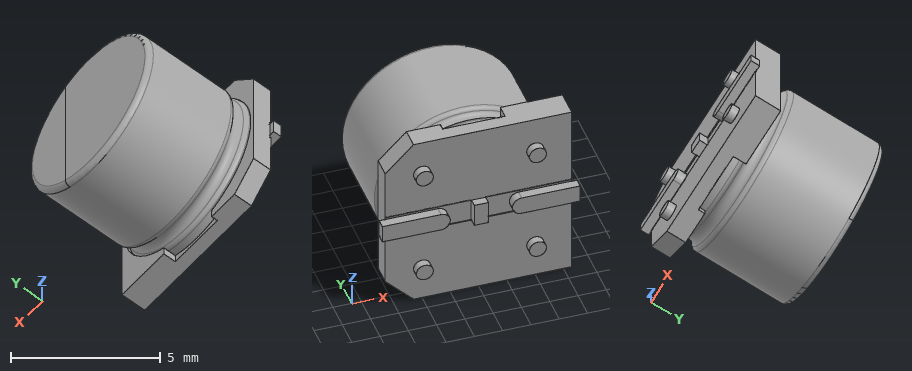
import cadquery as cq
import math


total_height = 5.5
can_radius = 3.15
base_width = 6.6
lead_span = 7.0

standoff = 0.3
corner_chamfer = 1.0
seat_height = 0.5
low_rim_height = 0.75
high_rim_height = 1.0
notch_half_width = 1.1
foot_radius = 0.3
foot_offset = 2.0
groove_width = 0.85
groove_depth = 0.04
key_length = 0.5

lead_width = 0.65
lead_tip_x = 1.1

can_edge_radius = 0.2
belt_radius = 0.25
belt_height = 1.2

mark_start_x = 1.22
mark_thickness = can_edge_radius

base_half = base_width / 2
base_y = standoff
seat_y = base_y + seat_height
groove_floor_y = base_y + groove_depth


def box_between(x_range, y_range, z_range):
    """Box spanning the given (low, high) pairs."""
    (x0, x1), (y0, y1), (z0, z1) = x_range, y_range, z_range
    return cq.Workplane("XY").box(x1 - x0, y1 - y0, z1 - z0, centered=False).translate((x0, y0, z0))


def cylinder_along_y(radius, y0, y1, x=0, z=0):
    """Cylinder parallel to Y between y0 and y1."""
    return cq.Workplane("XZ").circle(radius).extrude(y0 - y1).translate((x, y0, z))


def make_base():
    """Plastic base: chamfered plate with can seat, rims, notches, lead groove, key and feet."""
    full_z = (-base_half, base_half)
    base = box_between((-base_half, base_half), (base_y, base_y + high_rim_height), full_z)
    base = base.edges("|Y and <X").chamfer(corner_chamfer)

    rim_top_y = base_y + high_rim_height
    base = base.cut(box_between((-base_half, -notch_half_width), (base_y + low_rim_height, rim_top_y), full_z))
    base = base.cut(box_between((-notch_half_width, notch_half_width), (seat_y, rim_top_y), full_z))
    base = base.cut(cylinder_along_y(can_radius, seat_y, rim_top_y))

    groove_z = (-groove_width / 2, groove_width / 2)
    base = base.cut(box_between((-base_half, base_half), (base_y, groove_floor_y), groove_z))
    base = base.union(box_between((-key_length / 2, key_length / 2), (0, groove_floor_y), groove_z))

    for x in (-foot_offset, foot_offset):
        for z in (-foot_offset, foot_offset):
            base = base.union(cylinder_along_y(foot_radius, 0, base_y, x, z))
    return base


def make_lead(side):
    """Flat lead with a round inner end; side is -1 or +1 along X."""
    round_radius = lead_width / 2
    round_center_x = lead_tip_x + round_radius
    return (
        cq.Workplane("XZ")
        .moveTo(side * lead_span / 2, round_radius)
        .lineTo(side * round_center_x, round_radius)
        .threePointArc((side * lead_tip_x, 0), (side * round_center_x, -round_radius))
        .lineTo(side * lead_span / 2, -round_radius)
        .close()
        .extrude(-groove_floor_y)
    )


def make_whole_can():
    """Can with a rounded top edge and a rolled belt whose lips blend tangentially into the wall."""
    belt_y = base_y + belt_height
    lip_radius = can_edge_radius
    center_distance = belt_radius + lip_radius
    lip_offset = math.sqrt(center_distance**2 - lip_radius**2)
    lip_center_x = can_radius - lip_radius

    join_x = can_radius - lip_radius * belt_radius / center_distance
    join_offset = lip_offset * belt_radius / center_distance

    half_angle = math.atan2(lip_offset, lip_radius) / 2
    lip_mid_x = lip_center_x + lip_radius * math.cos(half_angle)
    lip_mid_offset = lip_offset - lip_radius * math.sin(half_angle)

    edge_center_x = can_radius - can_edge_radius
    edge_center_y = total_height - can_edge_radius
    edge_mid = can_edge_radius * math.sqrt(0.5)
    return (
        cq.Workplane("XY")
        .moveTo(0, seat_y)
        .lineTo(can_radius, seat_y)
        .lineTo(can_radius, belt_y - lip_offset)
        .threePointArc((lip_mid_x, belt_y - lip_mid_offset), (join_x, belt_y - join_offset))
        .threePointArc((can_radius - belt_radius, belt_y), (join_x, belt_y + join_offset))
        .threePointArc((lip_mid_x, belt_y + lip_mid_offset), (can_radius, belt_y + lip_offset))
        .lineTo(can_radius, edge_center_y)
        .threePointArc((edge_center_x + edge_mid, edge_center_y + edge_mid), (edge_center_x, total_height))
        .lineTo(0, total_height)
        .close()
        .revolve(360, (0, 0, 0), (0, 1, 0))
    )


mark_zone = box_between(
    (mark_start_x, can_radius),
    (total_height - mark_thickness, total_height),
    (-can_radius, can_radius),
)
whole_can = make_whole_can()
can = whole_can.cut(mark_zone)
polarity_mark = whole_can.intersect(mark_zone)

base = make_base()
leads = [make_lead(side) for side in (-1, 1)]

result = cq.Compound.makeCompound(
    [base.val(), can.val(), polarity_mark.val(), *[lead.val() for lead in leads]]
)